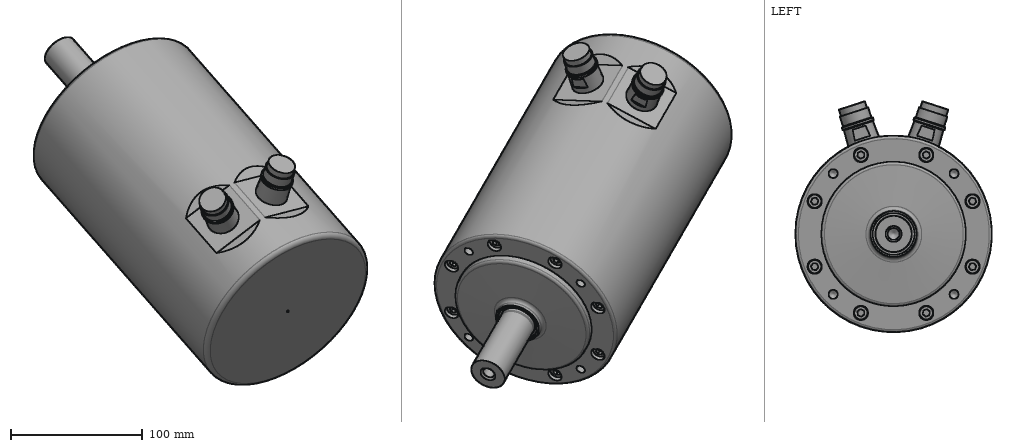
import cadquery as cq
import math


OVERALL_LENGTH = 313.0
REAR_NUB_LENGTH = 0.5
HOUSING_REAR_X = OVERALL_LENGTH - REAR_NUB_LENGTH
FLANGE_X = 74.5
PILOT_X = 68.0
CONE_TOP_X = 65.0
HUB_STEP_X = 62.3
HUB_TAPER_X = 60.0
HUB_FACE_X = 59.2
SHAFT_COLLAR_X = 57.5
SHAFT_COLLAR_TAPER = 1.0

HOUSING_DIAMETER = 150.0
PILOT_DIAMETER = 110.2
CONE_TOP_DIAMETER = 42.5
HUB_DIAMETER = 36.5
HUB_FACE_DIAMETER = 35.0
SEAL_GROOVE_DIAMETER = 32.0
SEAL_GROOVE_DEPTH = 2.0
COLLAR_DIAMETER = 28.0
SHAFT_DIAMETER = 27.5
REAR_NUB_DIAMETER = 1.3
FRONT_EDGE_RADIUS = 2.2
PILOT_EDGE_RADIUS = 2.2
REAR_EDGE_RADIUS = 3.8
HOUSING_RADIUS = HOUSING_DIAMETER / 2

DRILL_POINT_ANGLE = 118.0
CENTRE_HOLE_DIAMETER = 9.0
CENTRE_HOLE_MOUTH_DIAMETER = 12.2
CENTRE_HOLE_DEPTH = 22.0
HOLE_CIRCLE_DIAMETER = 130.2
MOUNTING_HOLE_DIAMETER = 7.0
MOUNTING_HOLE_DEPTH = 12.5
MOUNTING_HOLE_COUNT = 4
MOUNTING_HOLE_START_ANGLE = 45.0

SCREW_COUNT = 8
SCREW_START_ANGLE = 22.5
SCREW_BORE_DIAMETER = 11.0
SCREW_BORE_DEPTH = 9.0
SCREW_HEAD_DIAMETER = 10.0
SCREW_HEAD_HEIGHT = 6.0
SCREW_SOCKET_WIDTH = 5.0
SCREW_SOCKET_DEPTH = 3.0

CONNECTOR_TILT = 18.0
PAD_HEIGHT = 72.0
PAD_LENGTH = 42.0
PAD_RUNOUT = 8.8
CONNECTOR_X = 257.0
CONNECTOR_TOP = 103.0
CONNECTOR_STEP = 97.5
RING_TOP = 89.8
RING_BOTTOM = 86.7
BASE_DIAMETER = 25.0
BASE_TOP_DIAMETER = 23.5
RING_DIAMETER = 25.0
RING_BEVEL = 0.5
SLEEVE_DIAMETER = 23.0
TIP_DIAMETER = 21.0
WINDOW_BOTTOM = 76.7
WINDOW_TOP = 85.0
WINDOW_OFFSET = 10.5


def cylinder_x(diameter, start_x, length):
    return cq.Workplane("YZ").workplane(offset=start_x).circle(diameter / 2).extrude(length)


def drilled_hole(diameter, start_x, depth):
    """Cutter for a blind hole along +X with a conical drill point."""
    radius = diameter / 2
    point_length = radius / math.tan(math.radians(DRILL_POINT_ANGLE / 2))
    profile = [
        (start_x, 0),
        (start_x, radius),
        (start_x + depth, radius),
        (start_x + depth + point_length, 0),
    ]
    return cq.Workplane("XY").polyline(profile).close().revolve(360, (0, 0, 0), (1, 0, 0))


def on_hole_circle(shape, count, start_angle):
    """Copies of an on-axis shape, spread around the flange hole circle."""
    placed = shape.translate((0, 0, HOLE_CIRCLE_DIAMETER / 2))
    return [
        placed.rotate((0, 0, 0), (1, 0, 0), start_angle + 360 * index / count)
        for index in range(count)
    ]


def motor_blank():
    """Revolved shaft, hub, pilot and housing."""
    collar_radius = COLLAR_DIAMETER / 2
    shaft_radius = SHAFT_DIAMETER / 2
    hub_radius = HUB_DIAMETER / 2
    cone_top_radius = CONE_TOP_DIAMETER / 2
    pilot_radius = PILOT_DIAMETER / 2
    pilot_face_radius = pilot_radius - PILOT_EDGE_RADIUS
    groove_floor_x = HUB_FACE_X + SEAL_GROOVE_DEPTH
    groove_radius = SEAL_GROOVE_DIAMETER / 2
    arc_cut = 1 - math.sqrt(0.5)

    profile = (
        cq.Workplane("XY")
        .moveTo(0, 0)
        .lineTo(0, shaft_radius)
        .lineTo(SHAFT_COLLAR_X, shaft_radius)
        .lineTo(SHAFT_COLLAR_X + SHAFT_COLLAR_TAPER, collar_radius)
        .lineTo(groove_floor_x, collar_radius)
        .lineTo(groove_floor_x, groove_radius)
        .lineTo(HUB_FACE_X, groove_radius)
        .lineTo(HUB_FACE_X, HUB_FACE_DIAMETER / 2)
        .lineTo(HUB_TAPER_X, HUB_FACE_DIAMETER / 2)
        .lineTo(HUB_STEP_X, hub_radius)
        .threePointArc(
            (
                CONE_TOP_X - arc_cut * (CONE_TOP_X - HUB_STEP_X),
                hub_radius + arc_cut * (cone_top_radius - hub_radius),
            ),
            (CONE_TOP_X, cone_top_radius),
        )
        .lineTo(PILOT_X, pilot_face_radius)
        .threePointArc(
            (PILOT_X + arc_cut * PILOT_EDGE_RADIUS, pilot_radius - arc_cut * PILOT_EDGE_RADIUS),
            (PILOT_X + PILOT_EDGE_RADIUS, pilot_radius),
        )
        .lineTo(FLANGE_X, pilot_radius)
        .lineTo(FLANGE_X, HOUSING_RADIUS - FRONT_EDGE_RADIUS)
        .threePointArc(
            (FLANGE_X + arc_cut * FRONT_EDGE_RADIUS, HOUSING_RADIUS - arc_cut * FRONT_EDGE_RADIUS),
            (FLANGE_X + FRONT_EDGE_RADIUS, HOUSING_RADIUS),
        )
        .lineTo(HOUSING_REAR_X - REAR_EDGE_RADIUS, HOUSING_RADIUS)
        .threePointArc(
            (
                HOUSING_REAR_X - arc_cut * REAR_EDGE_RADIUS,
                HOUSING_RADIUS - arc_cut * REAR_EDGE_RADIUS,
            ),
            (HOUSING_REAR_X, HOUSING_RADIUS - REAR_EDGE_RADIUS),
        )
        .lineTo(HOUSING_REAR_X, REAR_NUB_DIAMETER / 2)
        .lineTo(OVERALL_LENGTH, REAR_NUB_DIAMETER / 2)
        .lineTo(OVERALL_LENGTH, 0)
        .close()
    )
    return profile.revolve(360, (0, 0, 0), (1, 0, 0))


def shaft_centre_hole():
    mouth_depth = (CENTRE_HOLE_MOUTH_DIAMETER - CENTRE_HOLE_DIAMETER) / 2
    mouth = cq.Workplane(
        cq.Solid.makeCone(
            CENTRE_HOLE_MOUTH_DIAMETER / 2,
            CENTRE_HOLE_DIAMETER / 2,
            mouth_depth,
            cq.Vector(0, 0, 0),
            cq.Vector(1, 0, 0),
        )
    )
    return drilled_hole(CENTRE_HOLE_DIAMETER, 0, CENTRE_HOLE_DEPTH).union(mouth)


def screw_recess():
    """Cutter that leaves a hex socket screw head sunk in its counterbore."""
    bore = cylinder_x(SCREW_BORE_DIAMETER, FLANGE_X, SCREW_BORE_DEPTH)
    head_face_x = FLANGE_X + SCREW_BORE_DEPTH - SCREW_HEAD_HEIGHT
    head = cylinder_x(SCREW_HEAD_DIAMETER, head_face_x, SCREW_HEAD_HEIGHT)
    socket_corner_diameter = SCREW_SOCKET_WIDTH / math.cos(math.pi / 6)
    socket = (
        cq.Workplane("YZ")
        .workplane(offset=head_face_x)
        .polygon(6, socket_corner_diameter)
        .extrude(SCREW_SOCKET_DEPTH)
    )
    return bore.cut(head.cut(socket))


def connector_pad():
    """Cutter for a flat pad on top of the housing, with sloping ends."""
    slope = PAD_RUNOUT / (HOUSING_RADIUS - PAD_HEIGHT)
    cutter_top = HOUSING_RADIUS + 3.0
    half_floor = PAD_LENGTH / 2
    half_top = half_floor + slope * (cutter_top - PAD_HEIGHT)
    outline = [
        (CONNECTOR_X - half_floor, PAD_HEIGHT),
        (CONNECTOR_X + half_floor, PAD_HEIGHT),
        (CONNECTOR_X + half_top, cutter_top),
        (CONNECTOR_X - half_top, cutter_top),
    ]
    return cq.Workplane("XZ").polyline(outline).close().extrude(HOUSING_RADIUS / 2, both=True)


def make_motor():
    motor = motor_blank().cut(shaft_centre_hole())
    mounting_hole = drilled_hole(MOUNTING_HOLE_DIAMETER, FLANGE_X, MOUNTING_HOLE_DEPTH)
    for hole in on_hole_circle(mounting_hole, MOUNTING_HOLE_COUNT, MOUNTING_HOLE_START_ANGLE):
        motor = motor.cut(hole)
    for recess in on_hole_circle(screw_recess(), SCREW_COUNT, SCREW_START_ANGLE):
        motor = motor.cut(recess)
    for tilt in (-CONNECTOR_TILT, CONNECTOR_TILT):
        motor = motor.cut(connector_pad().rotate((0, 0, 0), (1, 0, 0), tilt))
    return motor


def make_connector(tilt):
    """Stepped round connector standing on its pad, tilted about the motor axis."""
    profile = [
        (0, PAD_HEIGHT),
        (BASE_DIAMETER / 2, PAD_HEIGHT),
        (BASE_TOP_DIAMETER / 2, RING_BOTTOM),
        (RING_DIAMETER / 2, RING_BOTTOM + RING_BEVEL),
        (RING_DIAMETER / 2, RING_TOP - RING_BEVEL),
        (SLEEVE_DIAMETER / 2, RING_TOP),
        (SLEEVE_DIAMETER / 2, CONNECTOR_STEP),
        (TIP_DIAMETER / 2, CONNECTOR_STEP),
        (TIP_DIAMETER / 2, CONNECTOR_TOP),
        (0, CONNECTOR_TOP),
    ]
    body = cq.Workplane("XZ").polyline(profile).close().revolve(360, (0, 0, 0), (0, 1, 0))
    window = cq.Workplane("XY").box(
        BASE_DIAMETER,
        BASE_DIAMETER,
        WINDOW_TOP - WINDOW_BOTTOM,
        centered=(True, True, False),
    )
    window = window.translate((-WINDOW_OFFSET - BASE_DIAMETER / 2, 0, WINDOW_BOTTOM))
    body = body.cut(window)
    return body.translate((CONNECTOR_X, 0, 0)).rotate((0, 0, 0), (1, 0, 0), tilt)


motor = make_motor()
connectors = [make_connector(tilt) for tilt in (-CONNECTOR_TILT, CONNECTOR_TILT)]

result = cq.Compound.makeCompound([motor.val(), *[connector.val() for connector in connectors]])